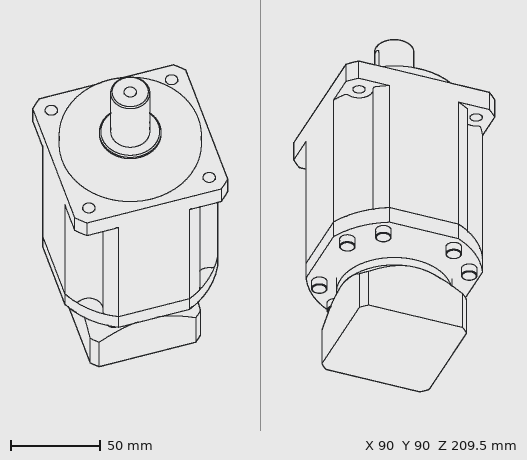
import cadquery as cq
import math


ADAPTER_TOP = 39.5
END_PLATE_BOTTOM = 51.5
END_PLATE_TOP = 61.8
FLANGE_BOTTOM = 147.5
FLANGE_TOP = 159.6
PILOT_TOP = 169.5
COLLAR_TOP = 171.5
TOTAL_HEIGHT = 209.5

HOUSING_SIDE = 90.0
FLANGE_CORNER_RADIUS = 60.0
BODY_CORNER_RADIUS = 49.7
PILOT_RADIUS = 40.0
PILOT_FILLET = 1.9
COLLAR_RADIUS = 17.4
COLLAR_CHAMFER = 0.8

MOUNTING_HOLE_DIAMETER = 7.0
MOUNTING_CIRCLE_RADIUS = 50.0
GROOVE_RADIUS = 8.0
GROOVE_FILLET = 1.9

SHAFT_DIAMETER = 22.0
SHAFT_RADIUS = SHAFT_DIAMETER / 2
SHAFT_CHAMFER = 0.8
CENTRE_HOLE_DIAMETER = 7.0
CENTRE_HOLE_DEPTH = 20.0
DRILL_POINT_ANGLE = 118.0
KEYWAY_WIDTH = 6.0
KEYWAY_DEPTH = 3.5
KEYWAY_LENGTH = 28.5
KEYWAY_CENTRE_HEIGHT = 191.5

NECK_RADIUS = 32.5
NECK_FILLET = 3.1
SCREW_CIRCLE_RADIUS = 42.5
SCREW_HEAD_RADIUS = 4.5
SCREW_HEAD_HEIGHT = 5.2
SCREW_HEAD_CHAMFER = 0.5
SCREW_ANGLE_FROM_AXIS = 30.0

ADAPTER_SIDE = 2 * NECK_RADIUS
ADAPTER_CORNER_RADIUS = 43.2
CONE_TOP = 34.4


def cylinder(radius, bottom, top):
    """Upright cylinder on the Z axis."""
    return cq.Workplane("XY").workplane(offset=bottom).circle(radius).extrude(top - bottom)


def rounded_square(side, corner_radius, bottom, top):
    """Square block whose corners are turned down to a cylinder about the Z axis."""
    block = cq.Workplane("XY").workplane(offset=bottom).rect(side, side).extrude(top - bottom)
    return block.intersect(cylinder(corner_radius, bottom, top))


def on_circle(radius, angle):
    """Point at an angle in degrees on a circle about the Z axis."""
    turn = math.radians(angle)
    return (radius * math.cos(turn), radius * math.sin(turn))


CORNER_ANGLES = (45, 135, 225, 315)
MOUNTING_POINTS = [on_circle(MOUNTING_CIRCLE_RADIUS, angle) for angle in CORNER_ANGLES]


def make_grooved_body():
    """Body between flange and end plate, with a rounded-over groove at each corner."""
    body = rounded_square(HOUSING_SIDE, BODY_CORNER_RADIUS, END_PLATE_TOP, FLANGE_BOTTOM)
    grooves = (
        cq.Workplane("XY")
        .workplane(offset=END_PLATE_TOP)
        .pushPoints(MOUNTING_POINTS)
        .circle(GROOVE_RADIUS)
        .extrude(FLANGE_BOTTOM - END_PLATE_TOP)
    )
    body = body.cut(grooves)
    squares = BODY_CORNER_RADIUS**2 + MOUNTING_CIRCLE_RADIUS**2 - GROOVE_RADIUS**2
    along = squares / (2 * MOUNTING_CIRCLE_RADIUS)
    edge_angle = math.degrees(math.acos(along / BODY_CORNER_RADIUS))
    middle = (END_PLATE_TOP + FLANGE_BOTTOM) / 2
    for corner in CORNER_ANGLES:
        for angle in (corner - edge_angle, corner + edge_angle):
            x, y = on_circle(BODY_CORNER_RADIUS, angle)
            edge = cq.selectors.NearestToPointSelector((x, y, middle))
            body = body.edges(edge).fillet(GROOVE_FILLET)
    return body


def make_shaft():
    """Output shaft with a chamfered tip, a drilled centre hole and a keyway on its +Y side."""
    shaft = cylinder(SHAFT_RADIUS, COLLAR_TOP, TOTAL_HEIGHT).faces(">Z").chamfer(SHAFT_CHAMFER)
    drill_radius = CENTRE_HOLE_DIAMETER / 2
    drill_point = drill_radius / math.tan(math.radians(DRILL_POINT_ANGLE / 2))
    drill_shoulder = TOTAL_HEIGHT - CENTRE_HOLE_DEPTH
    drill = (
        cq.Workplane("XZ")
        .moveTo(0, TOTAL_HEIGHT)
        .lineTo(drill_radius, TOTAL_HEIGHT)
        .lineTo(drill_radius, drill_shoulder)
        .lineTo(0, drill_shoulder - drill_point)
        .close()
        .revolve()
    )
    keyway = (
        cq.Workplane("XZ", origin=(0, SHAFT_RADIUS - KEYWAY_DEPTH, KEYWAY_CENTRE_HEIGHT))
        .slot2D(KEYWAY_LENGTH, KEYWAY_WIDTH, 90)
        .extrude(-SHAFT_RADIUS)
    )
    return shaft.cut(drill).cut(keyway)


def make_housing():
    """Grooved body, mounting flange, pilot, collar and output shaft in one piece."""
    flange = (
        rounded_square(HOUSING_SIDE, FLANGE_CORNER_RADIUS, FLANGE_BOTTOM, FLANGE_TOP)
        .faces(">Z")
        .workplane(origin=(0, 0, 0))
        .pushPoints(MOUNTING_POINTS)
        .hole(MOUNTING_HOLE_DIAMETER)
    )
    pilot = cylinder(PILOT_RADIUS, FLANGE_TOP, PILOT_TOP).faces(">Z").edges().fillet(PILOT_FILLET)
    collar = cylinder(COLLAR_RADIUS, PILOT_TOP, COLLAR_TOP).faces(">Z").chamfer(COLLAR_CHAMFER)
    return make_grooved_body().union(flange).union(pilot).union(collar).union(make_shaft())


def make_end_plate():
    """Plate under the housing with a ring of screw heads and a flared neck below it."""
    plate = rounded_square(HOUSING_SIDE, BODY_CORNER_RADIUS, END_PLATE_BOTTOM, END_PLATE_TOP)
    flare_bottom = END_PLATE_BOTTOM - NECK_FILLET
    flare_middle = NECK_FILLET * (1 - math.sqrt(0.5))
    neck = (
        cq.Workplane("XZ")
        .moveTo(0, ADAPTER_TOP)
        .lineTo(NECK_RADIUS, ADAPTER_TOP)
        .lineTo(NECK_RADIUS, flare_bottom)
        .threePointArc(
            (NECK_RADIUS + flare_middle, END_PLATE_BOTTOM - flare_middle),
            (NECK_RADIUS + NECK_FILLET, END_PLATE_BOTTOM),
        )
        .lineTo(0, END_PLATE_BOTTOM)
        .close()
        .revolve()
    )
    end_plate = plate.union(neck)
    screw_bottom = END_PLATE_BOTTOM - SCREW_HEAD_HEIGHT
    head = cylinder(SCREW_HEAD_RADIUS, screw_bottom, END_PLATE_BOTTOM)
    head = head.faces("<Z").chamfer(SCREW_HEAD_CHAMFER)
    for axis_angle in range(0, 360, 90):
        for offset in (SCREW_ANGLE_FROM_AXIS, -SCREW_ANGLE_FROM_AXIS):
            x, y = on_circle(SCREW_CIRCLE_RADIUS, axis_angle + offset)
            end_plate = end_plate.union(head.translate((x, y, 0)))
    return end_plate


def make_adapter():
    """Square motor adapter that narrows to a round top through a 45-degree cone."""
    cone_bottom = CONE_TOP - (ADAPTER_CORNER_RADIUS - NECK_RADIUS)
    turned = (
        cq.Workplane("XZ")
        .lineTo(ADAPTER_CORNER_RADIUS, 0)
        .lineTo(ADAPTER_CORNER_RADIUS, cone_bottom)
        .lineTo(NECK_RADIUS, CONE_TOP)
        .lineTo(0, CONE_TOP)
        .close()
        .revolve()
    )
    square = cq.Workplane("XY").rect(ADAPTER_SIDE, ADAPTER_SIDE).extrude(CONE_TOP)
    return turned.intersect(square).union(cylinder(NECK_RADIUS, CONE_TOP, ADAPTER_TOP))


housing = make_housing()
end_plate = make_end_plate()
adapter = make_adapter()

bodies = [housing, end_plate, adapter]
result = cq.Compound.makeCompound([body.solids().val() for body in bodies])